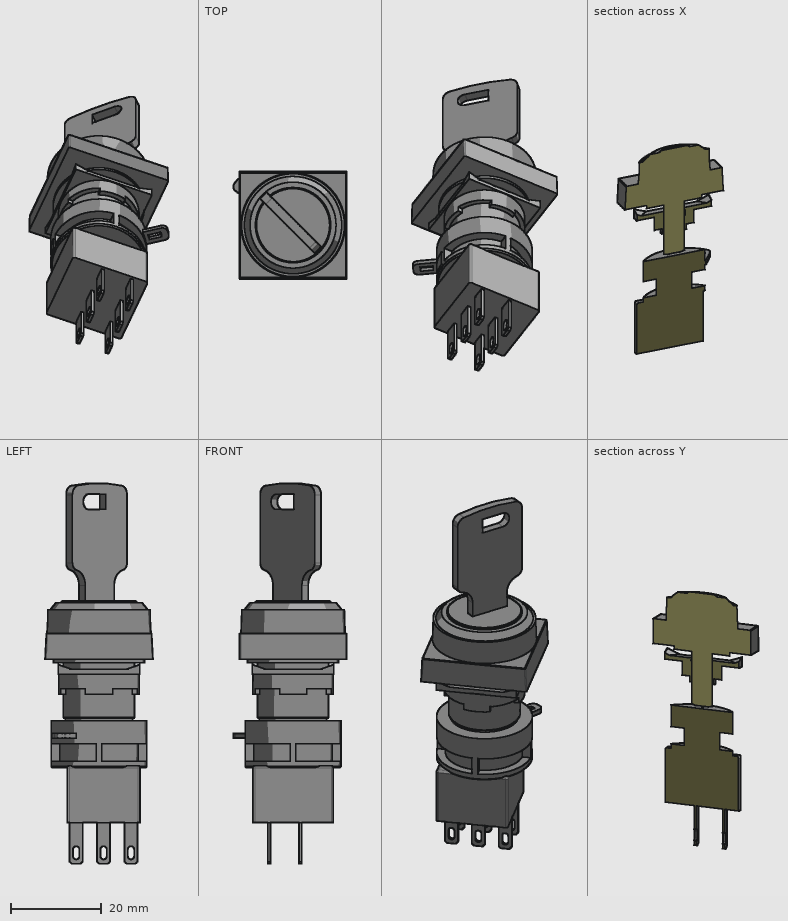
import cadquery as cq
import math


BLOCK_TOP = 31.55
SLEEVE_RADIUS = 7.9

FLANGE_BOTTOM = 45.1
FLANGE_TOP = 50.85
FLANGE_WIDTH_X = 23.7
FLANGE_BOTTOM_Y = 23.8
FLANGE_TOP_Y = 23.25
FLANGE_CORNER_RADIUS = 0.25
FLANGE_TOP_CHAMFER = 0.2

BEZEL_BOTTOM_RADIUS = 11.5
BEZEL_LEDGE_RADIUS = 11.3
BEZEL_LEDGE_Z = 56.05
BEZEL_CONE_RADIUS = 10.7
BEZEL_FACE_RADIUS = 9.5
BEZEL_TOP = 57.6
LOCK_FACE_RADIUS = 8.3
LOCK_FACE_CHAMFER = 0.25
LOCK_FACE_TOP = 58.0

GASKET_RADIUS = 10.1
GASKET_BOTTOM = 44.3
SLEEVE_BOTTOM = 32.05
SLEEVE_CHAMFER = 0.25
SPIGOT_RADIUS = 7.5

KEY_ANGLE = -45
KEY_OFFSET = -0.75
KEY_THICKNESS = 2.0
KEY_HEAD_WIDTH = 17.0
KEY_NECK_WIDTH = 9.1
KEY_TOP = 83.9
KEY_CROWN_RISE = 0.8
KEY_CORNER_RADIUS = 2.0
KEY_NECK_TOP = 61.4
KEY_HEAD_BOTTOM = 66.4
KEY_SHOULDER_RADIUS = 1.7
KEY_HOLE_LEFT = -5.9
KEY_HOLE_RIGHT = 1.2
KEY_HOLE_BOTTOM = 78.1
KEY_HOLE_HEIGHT = 3.35

NUT_WIDTH = 18.0
NUT_PLATE_BOTTOM = 41.8
NUT_DISH_FLOOR = 42.9
NUT_DISH_FLOOR_RADIUS = 10.8
NUT_DISH_SLOPE = 30
NUT_PLATE_TOP = 44.05
NUT_RING_RADIUS = 8.9
NUT_RING_BOTTOM = 38.6
NUT_TAB_BOTTOM = 37.3
NUT_TAB_WIDTH = 5.95

RING_RADIUS = 10.6
RING_BOTTOM = 21.15
RING_BOTTOM_CHAMFER = 0.3
WINDOW_BOTTOM = 22.65
WINDOW_TOP = 26.5
WINDOW_FLOOR_RADIUS = 8.65
RIB_WIDTH = 1.3

LEVER_ANGLE = 143
LEVER_BOTTOM = 27.7
LEVER_THICKNESS = 1.1
LEVER_REACH = 15.9
LEVER_WIDTH = 3.3
LEVER_TIP_RADIUS = 1.2
LEVER_SLOT_WIDTH = 1.2
LEVER_SLOT_START = 11.4
LEVER_SLOT_END = 14.3

BOX_BOTTOM = 9.1
BOX_TOP = 21.65
BOX_WIDTH_X = 17.8
BOX_WIDTH_Y = 16.1
BOX_CENTER_Y = -1.0
BOX_EDGE_RADIUS = 0.5

TERMINAL_ROWS_X = (-5.3, 1.6)
TERMINAL_PITCH_Y = 6.0
TERMINALS_PER_ROW = 3
TERMINAL_WIDTH = 2.9
TERMINAL_THICKNESS = 0.7
TERMINAL_TIP_CHAMFER = 0.5
TERMINAL_HOLE_WIDTH = 1.35
TERMINAL_HOLE_LENGTH = 2.85
TERMINAL_HOLE_Z = 2.4


def cylinder(radius, bottom, top):
    return cq.Workplane("XY").workplane(offset=bottom).circle(radius).extrude(top - bottom)


def centered_box(width_x, width_y, bottom, top):
    return cq.Workplane("XY").workplane(offset=bottom).rect(width_x, width_y).extrude(top - bottom)


def make_flange():
    """Square plate whose two Y sides lean inwards towards the top."""
    plate = (
        cq.Workplane("YZ")
        .moveTo(-FLANGE_BOTTOM_Y / 2, FLANGE_BOTTOM)
        .lineTo(FLANGE_BOTTOM_Y / 2, FLANGE_BOTTOM)
        .lineTo(FLANGE_TOP_Y / 2, FLANGE_TOP)
        .lineTo(-FLANGE_TOP_Y / 2, FLANGE_TOP)
        .close()
        .extrude(FLANGE_WIDTH_X / 2, both=True)
    )
    plate = plate.faces("<X or >X").edges("not |Y").fillet(FLANGE_CORNER_RADIUS)
    return plate.faces(">Z").chamfer(FLANGE_TOP_CHAMFER)


def make_turned_operator():
    """Bezel, lock face, gasket, sleeve and spigot as one turned profile."""
    return (
        cq.Workplane("XZ")
        .moveTo(0, BLOCK_TOP)
        .lineTo(SPIGOT_RADIUS, BLOCK_TOP)
        .lineTo(SPIGOT_RADIUS, SLEEVE_BOTTOM)
        .lineTo(SLEEVE_RADIUS - SLEEVE_CHAMFER, SLEEVE_BOTTOM)
        .lineTo(SLEEVE_RADIUS, SLEEVE_BOTTOM + SLEEVE_CHAMFER)
        .lineTo(SLEEVE_RADIUS, GASKET_BOTTOM)
        .lineTo(GASKET_RADIUS, GASKET_BOTTOM)
        .lineTo(GASKET_RADIUS, FLANGE_TOP)
        .lineTo(BEZEL_BOTTOM_RADIUS, FLANGE_TOP)
        .lineTo(BEZEL_LEDGE_RADIUS, BEZEL_LEDGE_Z)
        .lineTo(BEZEL_CONE_RADIUS, BEZEL_LEDGE_Z)
        .lineTo(BEZEL_FACE_RADIUS, BEZEL_TOP)
        .lineTo(LOCK_FACE_RADIUS, BEZEL_TOP)
        .lineTo(LOCK_FACE_RADIUS, LOCK_FACE_TOP - LOCK_FACE_CHAMFER)
        .lineTo(LOCK_FACE_RADIUS - LOCK_FACE_CHAMFER, LOCK_FACE_TOP)
        .lineTo(0, LOCK_FACE_TOP)
        .close()
        .revolve(360, (0, 0, 0), (0, 1, 0))
    )


def make_key():
    """Flat key: crowned head, S-shaped shoulders into the neck, and a D-shaped hole."""
    head = KEY_HEAD_WIDTH / 2
    neck = KEY_NECK_WIDTH / 2
    head_side_top = KEY_TOP - KEY_CROWN_RISE

    step = head - neck
    drop = KEY_HEAD_BOTTOM - KEY_NECK_TOP
    radius_sum = (step**2 + drop**2) / (2 * step)
    sweep = math.asin(drop / radius_sum)
    neck_radius = radius_sum - KEY_SHOULDER_RADIUS

    def head_arc(angle):
        x = head - KEY_SHOULDER_RADIUS * (1 - math.cos(angle))
        return x, KEY_HEAD_BOTTOM - KEY_SHOULDER_RADIUS * math.sin(angle)

    def neck_arc(angle):
        x = neck + neck_radius * (1 - math.cos(angle))
        return x, KEY_NECK_TOP + neck_radius * math.sin(angle)

    def mirrored(point):
        return -point[0], point[1]

    blade = (
        cq.Workplane("XZ")
        .moveTo(-neck, LOCK_FACE_TOP)
        .lineTo(neck, LOCK_FACE_TOP)
        .lineTo(neck, KEY_NECK_TOP)
        .threePointArc(neck_arc(sweep / 2), head_arc(sweep))
        .threePointArc(head_arc(sweep / 2), (head, KEY_HEAD_BOTTOM))
        .lineTo(head, head_side_top)
        .threePointArc((0, KEY_TOP), (-head, head_side_top))
        .lineTo(-head, KEY_HEAD_BOTTOM)
        .threePointArc(mirrored(head_arc(sweep / 2)), mirrored(head_arc(sweep)))
        .threePointArc(mirrored(neck_arc(sweep / 2)), (-neck, KEY_NECK_TOP))
        .close()
        .extrude(KEY_THICKNESS / 2, both=True)
    )
    top_corners = cq.selectors.BoxSelector(
        (-KEY_HEAD_WIDTH, -KEY_THICKNESS, head_side_top - KEY_CROWN_RISE / 2),
        (KEY_HEAD_WIDTH, KEY_THICKNESS, head_side_top + KEY_CROWN_RISE / 2),
    )
    blade = blade.edges("|Y").edges(top_corners).fillet(KEY_CORNER_RADIUS)

    hole_radius = KEY_HOLE_HEIGHT / 2
    hole_top = KEY_HOLE_BOTTOM + KEY_HOLE_HEIGHT
    round_start = KEY_HOLE_LEFT + hole_radius
    blade = blade.translate((KEY_OFFSET, 0, 0))
    hole = (
        cq.Workplane("XZ")
        .moveTo(round_start, KEY_HOLE_BOTTOM)
        .lineTo(KEY_HOLE_RIGHT, KEY_HOLE_BOTTOM)
        .lineTo(KEY_HOLE_RIGHT, hole_top)
        .lineTo(round_start, hole_top)
        .threePointArc((KEY_HOLE_LEFT, KEY_HOLE_BOTTOM + hole_radius), (round_start, KEY_HOLE_BOTTOM))
        .close()
        .extrude(KEY_THICKNESS, both=True)
    )
    return blade.cut(hole).rotate((0, 0, 0), (0, 0, 1), KEY_ANGLE)


def make_operator():
    return make_turned_operator().union(make_flange()).union(make_key())


def make_nut():
    """Square plate with a dished top, on a round ring that carries four tabs."""
    plate = centered_box(NUT_WIDTH, NUT_WIDTH, NUT_PLATE_BOTTOM, NUT_PLATE_TOP)
    dish_depth = NUT_PLATE_TOP - NUT_DISH_FLOOR
    dish_top_radius = NUT_DISH_FLOOR_RADIUS + dish_depth / math.tan(math.radians(NUT_DISH_SLOPE))
    dish = (
        cq.Workplane("XZ")
        .moveTo(0, NUT_DISH_FLOOR)
        .lineTo(NUT_DISH_FLOOR_RADIUS, NUT_DISH_FLOOR)
        .lineTo(dish_top_radius, NUT_PLATE_TOP)
        .lineTo(0, NUT_PLATE_TOP)
        .close()
        .revolve(360, (0, 0, 0), (0, 1, 0))
    )
    ring = cylinder(NUT_RING_RADIUS, NUT_RING_BOTTOM, NUT_PLATE_BOTTOM)

    span = 2 * NUT_RING_RADIUS
    tab_bars = centered_box(span, NUT_TAB_WIDTH, NUT_TAB_BOTTOM, NUT_RING_BOTTOM).union(
        centered_box(NUT_TAB_WIDTH, span, NUT_TAB_BOTTOM, NUT_RING_BOTTOM)
    )
    tabs = cylinder(NUT_RING_RADIUS, NUT_TAB_BOTTOM, NUT_RING_BOTTOM).intersect(tab_bars)

    bore = cylinder(SLEEVE_RADIUS, NUT_TAB_BOTTOM, NUT_PLATE_TOP)
    return plate.cut(dish).union(ring).union(tabs).cut(bore)


def make_locking_ring():
    """Round base with four side windows separated by ribs on the X and Y axes."""
    ring = cylinder(RING_RADIUS, RING_BOTTOM, BLOCK_TOP).faces("<Z").chamfer(RING_BOTTOM_CHAMFER)
    span = 2 * RING_RADIUS
    windows = (
        cylinder(RING_RADIUS, WINDOW_BOTTOM, WINDOW_TOP)
        .cut(cylinder(WINDOW_FLOOR_RADIUS, WINDOW_BOTTOM, WINDOW_TOP))
        .cut(centered_box(span, RIB_WIDTH, WINDOW_BOTTOM, WINDOW_TOP))
        .cut(centered_box(RIB_WIDTH, span, WINDOW_BOTTOM, WINDOW_TOP))
    )
    return ring.cut(windows)


def make_lever():
    """Slotted lever with a rounded tip, laid along +X and turned into place."""
    root = WINDOW_FLOOR_RADIUS
    slot_middle = (LEVER_SLOT_START + LEVER_SLOT_END) / 2
    lever = (
        cq.Workplane("XY")
        .workplane(offset=LEVER_BOTTOM)
        .center((root + LEVER_REACH) / 2, 0)
        .rect(LEVER_REACH - root, LEVER_WIDTH)
        .extrude(LEVER_THICKNESS)
    )
    lever = lever.faces(">X").edges("|Z").fillet(LEVER_TIP_RADIUS)
    slot = (
        cq.Workplane("XY")
        .workplane(offset=LEVER_BOTTOM)
        .center(slot_middle, 0)
        .rect(LEVER_SLOT_END - LEVER_SLOT_START, LEVER_SLOT_WIDTH)
        .extrude(LEVER_THICKNESS)
    )
    return lever.cut(slot).rotate((0, 0, 0), (0, 0, 1), LEVER_ANGLE)


def make_contact_box():
    box = centered_box(BOX_WIDTH_X, BOX_WIDTH_Y, BOX_BOTTOM, BOX_TOP)
    box = box.edges("|Z or >Z").fillet(BOX_EDGE_RADIUS)
    return box.translate((0, BOX_CENTER_Y, 0))


def make_terminal():
    """Flat tab below the box with a chamfered tip and an upright slot."""
    tab = centered_box(TERMINAL_THICKNESS, TERMINAL_WIDTH, 0, BOX_BOTTOM)
    tab = tab.faces("<Z").edges("|X").chamfer(TERMINAL_TIP_CHAMFER)
    slot = (
        cq.Workplane("YZ")
        .center(0, TERMINAL_HOLE_Z)
        .slot2D(TERMINAL_HOLE_LENGTH, TERMINAL_HOLE_WIDTH, 90)
        .extrude(TERMINAL_THICKNESS, both=True)
    )
    return tab.cut(slot)


def make_contact_block():
    block = make_locking_ring().union(make_lever()).union(make_contact_box())
    terminal = make_terminal()
    for x in TERMINAL_ROWS_X:
        for index in range(TERMINALS_PER_ROW):
            y = BOX_CENTER_Y + (index - (TERMINALS_PER_ROW - 1) / 2) * TERMINAL_PITCH_Y
            block = block.union(terminal.translate((x, y, 0)))
    return block


operator = make_operator().solids()
nut = make_nut().solids()
contact_block = make_contact_block().solids()

result = cq.Compound.makeCompound([operator.val(), nut.val(), contact_block.val()])